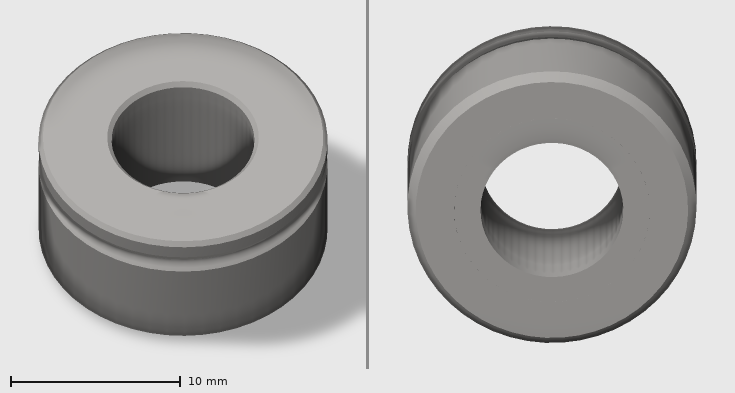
import cadquery as cq

outer_diameter = 17.0
total_height = 8.5
bore_diameter = 8.4

collar_height = 6.61
collar_chamfer = 0.5

flange_thickness = 1.4
flange_chamfer = 0.25
sleeve_diameter = 11.51
bore_chamfer = 0.25

sleeve_height = total_height - flange_thickness


def make_collar():
    """Ring with both outer edges chamfered, fitting around the sleeve."""
    disc = cq.Workplane("XY").circle(outer_diameter / 2).extrude(collar_height)
    disc = disc.faces("<Z or >Z").edges().chamfer(collar_chamfer)
    return disc.faces(">Z").workplane().hole(sleeve_diameter)


def make_flanged_bush():
    """Sleeve with a chamfered flange, and a through bore chamfered at the top."""
    flange = (
        cq.Workplane("XY", origin=(0, 0, sleeve_height))
        .circle(outer_diameter / 2)
        .extrude(flange_thickness)
        .faces("<Z or >Z")
        .edges()
        .chamfer(flange_chamfer)
    )
    sleeve = cq.Workplane("XY").circle(sleeve_diameter / 2).extrude(sleeve_height)
    bush = flange.union(sleeve).faces(">Z").workplane().hole(bore_diameter)
    bore_rim = cq.selectors.RadiusNthSelector(0)
    return bush.faces(">Z").edges(bore_rim).chamfer(bore_chamfer)


collar = make_collar()
flanged_bush = make_flanged_bush()

result = cq.Compound.makeCompound([collar.val(), flanged_bush.val()])